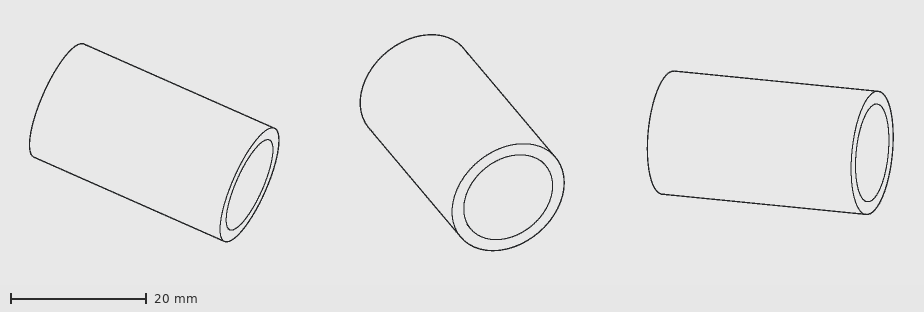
import cadquery as cq

length = 32.0
outer_diameter = 18.3
bore_diameter = 14.5

result = (
    cq.Workplane("YZ", origin=(-length / 2, 0, 0))
    .circle(outer_diameter / 2)
    .circle(bore_diameter / 2)
    .extrude(length)
)